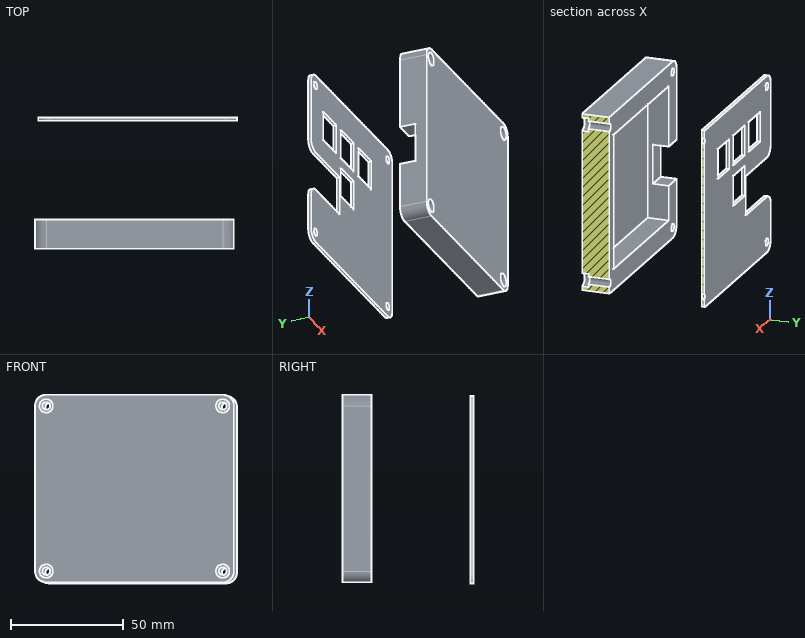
import cadquery as cq

width = 88.2
height = 83.2
corner_radius = 5.0

screw_hole_diameter = 3.4
screw_head_diameter = 6.0
screw_head_depth = 3.0

case_depth = 13.0
wall = 2 * corner_radius
notch_depth = 7.5
floor_thickness = 3.0

notch_height = 18.4
notch_center_z = -6.1

overall_depth = 58.22
plate_thickness = 1.5
plate_front_y = overall_depth - plate_thickness
plate_shift_x = 1.39
plate_shift_z = -0.51
plate_notch_length = 31.0

key_window = 14.0
key_pitch = 19.05
middle_key_x = -4.7
upper_key_z = 20.4
key_cells = [(-1, 0), (0, 0), (1, 0), (0, -1)]

screw_points = [
    (side_x * (width / 2 - corner_radius), side_z * (height / 2 - corner_radius))
    for side_x in (-1, 1)
    for side_z in (-1, 1)
]


def prism(size_x, size_z, start_y, length_y, points=((0, 0),)):
    """Rectangular blocks running toward +Y from start_y, centred on the (x, z) points."""
    face = cq.Workplane("XZ", origin=(0, start_y, 0)).pushPoints(points)
    return face.rect(size_x, size_z).extrude(-length_y)


def bores(diameter, length_y):
    """Round cutters at the screw points, running toward +Y from y = 0."""
    return cq.Workplane("XZ").pushPoints(screw_points).circle(diameter / 2).extrude(-length_y)


def edge_notch(length_x, start_y, length_y):
    """Cutter that reaches length_x inward from the -X side."""
    center = (-width / 2 + length_x / 2, notch_center_z)
    return prism(length_x, notch_height, start_y, length_y, [center])


def make_case():
    body = prism(width, height, 0, case_depth).edges("|Y").fillet(corner_radius)
    cavity_depth = case_depth - floor_thickness
    notch_start = case_depth - notch_depth
    body = body.cut(prism(width - 2 * wall, height - 2 * wall, floor_thickness, cavity_depth))
    body = body.cut(edge_notch(wall, notch_start, notch_depth))
    body = body.cut(bores(screw_hole_diameter, case_depth))
    return body.cut(bores(screw_head_diameter, screw_head_depth))


def make_plate():
    body = prism(width, height, 0, plate_thickness)
    body = body.cut(edge_notch(plate_notch_length, 0, plate_thickness))
    body = body.edges("|Y and (<X or >X)").fillet(corner_radius)
    windows = [
        (middle_key_x + column * key_pitch, upper_key_z + row * key_pitch)
        for column, row in key_cells
    ]
    body = body.cut(prism(key_window, key_window, 0, plate_thickness, windows))
    body = body.cut(bores(screw_hole_diameter, plate_thickness))
    return body.translate((plate_shift_x, plate_front_y, plate_shift_z))


case = make_case()
cover_plate = make_plate()

result = cq.Compound.makeCompound([case.val(), cover_plate.val()])